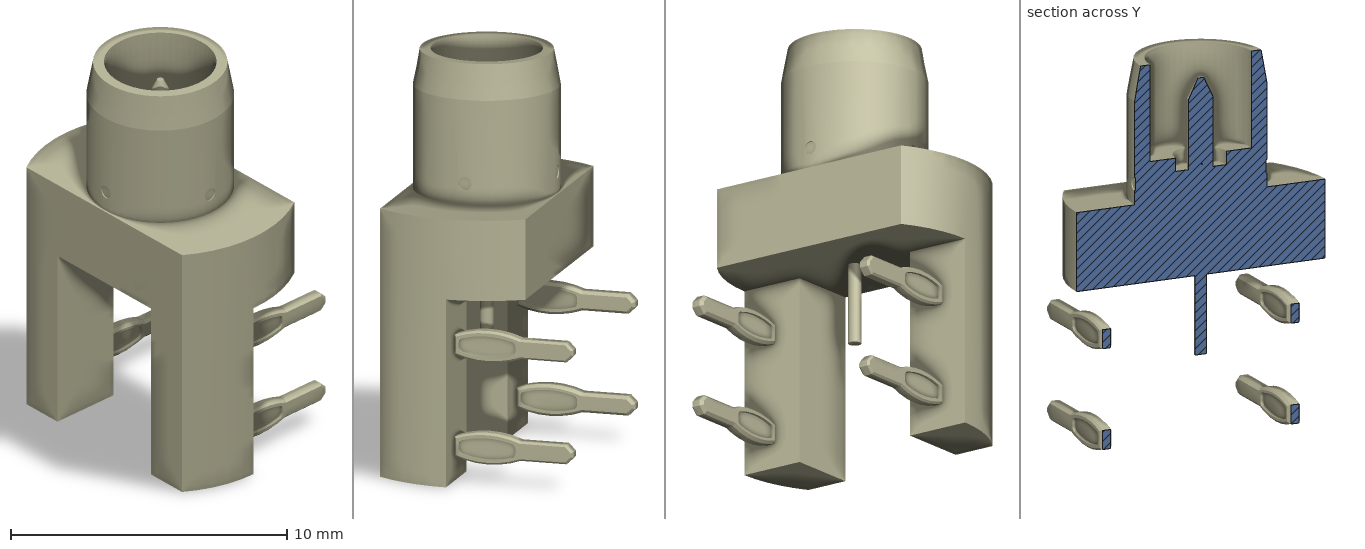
import cadquery as cq
import math

overall_height = 15.2

body_radius = 5.0
body_depth = 5.5
body_height = 10.0
bridge_height = 3.0
leg_gap = body_radius
leg_height = body_height - bridge_height

barrel_radius = 2.68
barrel_rim_radius = 2.43
barrel_taper_height = 1.3
bore_radius = 2.04
bore_depth = 3.65
dimple_radius = 0.25
dimple_depth = 0.05
dimple_height = 0.78

contact_radius = 0.5
contact_tip_radius = 0.12
contact_cone_height = 0.78
contact_tip_drop = 0.75
contact_ring_radius = 1.02
contact_ring_depth = 0.5
tail_radius = 0.25
tail_length = bridge_height

pin_spacing_x = 7.55
pin_spacing_z = 3.8
pin_bottom_height = 1.29
pin_width = 0.5
pin_half_height = 0.36
pin_length = 4.5
pin_tip_chamfer = 0.26
pin_outer_bevel = 0.08
pin_inner_bevel = 0.1
swell_length = 2.51
swell_half_height = 0.6
swell_middle = swell_length / 2
dish_margin = 0.2
dish_end_gap = 0.18
dish_depth = 0.12
dish_corner_radius = 0.2


def cylinder(radius, bottom, top):
    return cq.Workplane("XY").workplane(offset=bottom).circle(radius).extrude(top - bottom)


def block(width, depth, height, centred_in_y=True):
    return cq.Workplane("XY").box(width, depth, height, centered=(True, centred_in_y, False))


def make_body():
    body = cylinder(body_radius, 0, body_height)
    body = body.intersect(block(2 * body_radius, body_depth, body_height))
    behind_legs = block(2 * body_radius, body_depth / 2, leg_height, centred_in_y=False)
    between_legs = block(leg_gap, body_depth, leg_height)
    return body.cut(behind_legs).cut(between_legs)


def make_barrel():
    outer = (
        cq.Workplane("XZ")
        .moveTo(0, body_height)
        .lineTo(barrel_radius, body_height)
        .lineTo(barrel_radius, overall_height - barrel_taper_height)
        .lineTo(barrel_rim_radius, overall_height)
        .lineTo(0, overall_height)
        .close()
        .revolve(360, (0, 0, 0), (0, 1, 0))
    )
    floor_z = overall_height - bore_depth
    barrel = outer.cut(cylinder(bore_radius, floor_z, overall_height))
    barrel = barrel.cut(cylinder(contact_ring_radius, floor_z - contact_ring_depth, floor_z))
    dimple = (
        cq.Workplane("YZ")
        .workplane(offset=barrel_radius - dimple_depth)
        .center(0, body_height + dimple_height)
        .circle(dimple_radius)
        .extrude(2 * dimple_depth)
    )
    for quarter in range(4):
        barrel = barrel.cut(dimple.rotate((0, 0, 0), (0, 0, 1), 90 * quarter))
    return barrel


def make_contact():
    tip_z = overall_height - contact_tip_drop
    point = (
        cq.Workplane("XZ")
        .moveTo(0, body_height)
        .lineTo(contact_radius, body_height)
        .lineTo(contact_radius, tip_z - contact_cone_height)
        .lineTo(contact_tip_radius, tip_z)
        .lineTo(0, tip_z)
        .close()
        .revolve(360, (0, 0, 0), (0, 1, 0))
    )
    tail = cylinder(tail_radius, leg_height - tail_length, leg_height)
    return point.union(tail)


def make_dish(x_start):
    """Oval pocket whose long sides are the swell arcs moved inward by the margin."""
    rise = swell_half_height - pin_half_height
    swell_radius = (swell_middle**2 + rise**2) / (2 * rise)
    dish_radius = swell_radius - dish_margin
    arc_centre = swell_half_height - swell_radius
    half_length = swell_middle - dish_end_gap
    top = swell_half_height - dish_margin
    end = arc_centre + math.sqrt(dish_radius**2 - half_length**2)
    return (
        cq.Workplane("YZ")
        .workplane(offset=x_start)
        .center(swell_middle, 0)
        .moveTo(-half_length, end)
        .threePointArc((0, top), (half_length, end))
        .lineTo(half_length, -end)
        .threePointArc((0, -top), (-half_length, -end))
        .close()
        .extrude(dish_depth)
        .edges("|X")
        .fillet(dish_corner_radius)
    )


def make_pin():
    """Pin along +Y with its inner face towards -X, centred on X and Z, bevelled around both side faces."""
    tip_half_height = pin_half_height - pin_tip_chamfer
    pin = (
        cq.Workplane("YZ")
        .workplane(offset=-pin_width / 2)
        .moveTo(0, pin_half_height)
        .threePointArc((swell_middle, swell_half_height), (swell_length, pin_half_height))
        .lineTo(pin_length - pin_tip_chamfer, pin_half_height)
        .lineTo(pin_length, tip_half_height)
        .lineTo(pin_length, -tip_half_height)
        .lineTo(pin_length - pin_tip_chamfer, -pin_half_height)
        .lineTo(swell_length, -pin_half_height)
        .threePointArc((swell_middle, -swell_half_height), (0, -pin_half_height))
        .close()
        .extrude(pin_width)
    )
    pin = pin.faces(">X").chamfer(pin_outer_bevel)
    pin = pin.faces("<X").chamfer(pin_inner_bevel)
    pin = pin.cut(make_dish(pin_width / 2 - dish_depth))
    return pin.cut(make_dish(-pin_width / 2))


result = make_body().union(make_barrel()).union(make_contact())
right_pin = make_pin().translate((pin_spacing_x / 2, 0, pin_bottom_height))
for row in range(2):
    pin = right_pin.translate((0, 0, row * pin_spacing_z))
    result = result.union(pin).union(pin.mirror("YZ"))